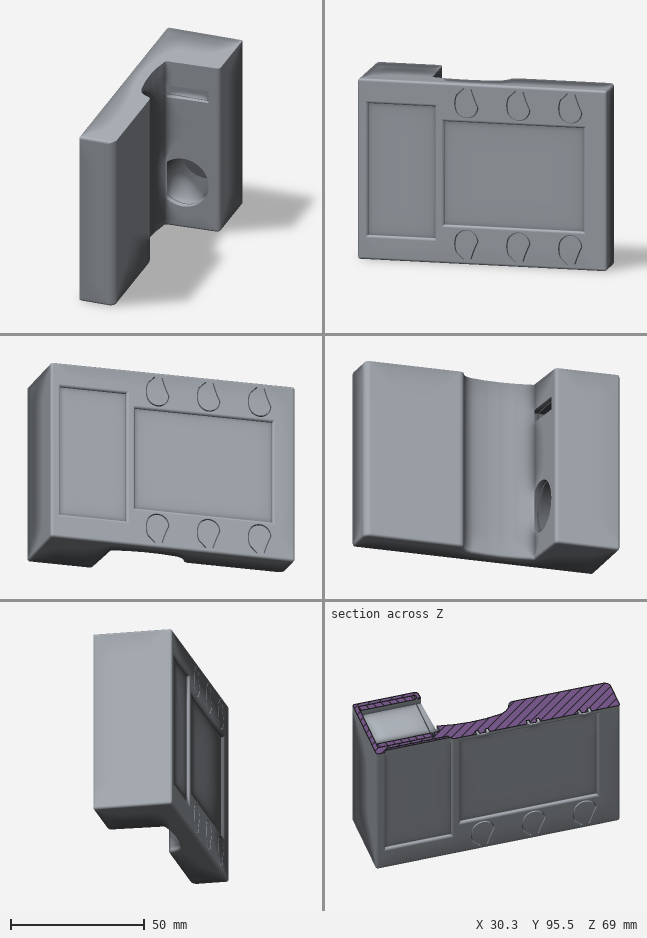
import cadquery as cq

DEPTH = 30.3
LENGTH = 95.5
HEIGHT = 69.0
EDGE_RADIUS = 1.0

HANDLE_DEPTH = 14.3
HANDLE_END_RADIUS = 2.5
RECESS_START_Y = -10.3
RECESS_CREST = (12.6, -7.9)
RECESS_BEND = (8.6, -3.3)
RECESS_END = (9.2, 21.2)
RECESS_CORNER_RADIUS = 0.8
GRIP_FACE_Y = 22.25
GRIP_CORNER_RADIUS = 1.4

SIDE_WINDOW = (31.0, 25.8, 50.4)
SCREEN_WINDOW = (-12.1, 53.7, 39.5)
WINDOW_DEPTH = 1.1
LEDGE_WIDTH = 1.0
PANEL_THICKNESS = 1.0

BUTTON_PITCH = 20.0
BUTTON_MIDDLE_Y = -13.8
BUTTON_Z = 25.9
SLOT_WIDTH = 0.5
SLOT_DEPTH = 1.9

WALL = 1.9
CAVITY_FRONT_X = 3.8
CAVITY_START_Y = 23.6
CORE_GAP = 0.5

OPENING_X = 15.95
OPENING_WIDTH = 20.1
PORT_HEIGHT = 5.0
PORT_Z = 22.0
BORE_Z = -15.6


def make_blank():
    """Side outline extruded over the height, with rounded outer edges."""
    half = LENGTH / 2
    blank = (
        cq.Workplane("XY", origin=(0, 0, -HEIGHT / 2))
        .moveTo(0, -half)
        .lineTo(HANDLE_DEPTH, -half)
        .lineTo(HANDLE_DEPTH, RECESS_START_Y)
        .tangentArcPoint(RECESS_CREST, relative=False)
        .tangentArcPoint(RECESS_BEND, relative=False)
        .tangentArcPoint(RECESS_END, relative=False)
        .lineTo(DEPTH, GRIP_FACE_Y)
        .lineTo(DEPTH, half)
        .lineTo(0, half)
        .close()
        .extrude(HEIGHT)
    )
    blank = blank.edges(vertical_at(HANDLE_DEPTH, -half)).fillet(HANDLE_END_RADIUS)
    blank = blank.edges(vertical_at(*RECESS_END)).fillet(RECESS_CORNER_RADIUS)
    blank = blank.edges(vertical_at(DEPTH, GRIP_FACE_Y)).fillet(GRIP_CORNER_RADIUS)
    blank = blank.edges(vertical_at(DEPTH, half)).fillet(EDGE_RADIUS)
    blank = blank.faces("<X").edges("|Z").fillet(EDGE_RADIUS)
    blank = blank.faces("<Z").edges().fillet(EDGE_RADIUS)
    return blank.intersect(make_top_edge_envelope())


def make_top_edge_envelope():
    """Oversized block that rounds the top edges, leaving the recessed back edge sharp."""
    envelope = cq.Workplane("XY").box(2 * DEPTH, LENGTH, 2 * HEIGHT, centered=(False, True, True))
    envelope = envelope.translate((0, 0, -HEIGHT / 2))
    envelope = envelope.faces("<X").edges("|Z").fillet(EDGE_RADIUS)
    return envelope.faces(">Z").edges("not >X").fillet(EDGE_RADIUS)


def vertical_at(x, y):
    """Selector for the vertical edge through the point (x, y)."""
    reach = 0.1
    return cq.selectors.BoxSelector(
        (x - reach, y - reach, -HEIGHT), (x + reach, y + reach, HEIGHT)
    )


def cut_window(housing, window):
    """Cut a window recess and the pocket for its panel, leaving a ledge between them."""
    center_y, width, height = window
    recess = (
        cq.Workplane("XY")
        .box(WINDOW_DEPTH, width, height, centered=(False, True, True))
        .translate((0, center_y, 0))
    )
    return housing.cut(recess).cut(make_panel(window))


def make_panel(window):
    """Flat panel set flush into the floor of a window recess."""
    center_y, width, height = window
    return (
        cq.Workplane("XY")
        .box(
            PANEL_THICKNESS,
            width - 2 * LEDGE_WIDTH,
            height - 2 * LEDGE_WIDTH,
            centered=(False, True, True),
        )
        .translate((WINDOW_DEPTH, center_y, 0))
    )


def round_window_mouths(housing):
    """Round the mouth of every window in the display face."""
    mouths = housing.faces("<X").val().innerWires()
    mouth_edges = [edge for wire in mouths for edge in wire.Edges()]
    return housing.newObject(mouth_edges).fillet(EDGE_RADIUS)


def make_button_slot():
    """Open drop-shaped slot around the origin of the display face, its gap at the top."""
    path = (
        cq.Workplane("YZ")
        .moveTo(1.05, 6.8)
        .lineTo(3.6, 4.3)
        .threePointArc((4.3, 1.5), (3.8, -1.8))
        .threePointArc((0.2, -4.4), (-4.5, -0.2))
        .threePointArc((-3.0, 3.3), (-1.9, 6.5))
        .wire()
    )
    return path.offset2D(SLOT_WIDTH / 2).extrude(SLOT_DEPTH)


def cut_button_slots(housing):
    """Cut a row of three slots above the screen and a mirrored row below it."""
    upper_slot = make_button_slot()
    lower_slot = upper_slot.mirror("XY")
    for column in (-1, 0, 1):
        y = BUTTON_MIDDLE_Y + column * BUTTON_PITCH
        housing = housing.cut(upper_slot.translate((0, y, BUTTON_Z)))
        housing = housing.cut(lower_slot.translate((0, y, -BUTTON_Z)))
    return housing


def make_grip_block(start_y):
    """Block that fills the grip cavity from start_y to the end wall."""
    length = LENGTH / 2 - WALL - start_y
    return (
        cq.Workplane("XY")
        .box(DEPTH - WALL - CAVITY_FRONT_X, length, HEIGHT - 2 * WALL, centered=(False, False, True))
        .translate((CAVITY_FRONT_X, start_y, 0))
    )


def make_openings():
    """Rectangular port above a round bore, both running along Y from the grip face to the end wall."""
    start_y = RECESS_END[1]
    length = LENGTH / 2 - WALL - start_y
    port = (
        cq.Workplane("XY")
        .box(OPENING_WIDTH, length, PORT_HEIGHT, centered=(True, False, True))
        .translate((OPENING_X, start_y, PORT_Z))
    )
    bore = (
        cq.Workplane("XZ", origin=(OPENING_X, start_y, BORE_Z))
        .circle(OPENING_WIDTH / 2)
        .extrude(-length)
    )
    return port.union(bore)


def make_housing():
    """Outer case with its windows, button slots, grip cavity and openings."""
    housing = make_blank()
    for window in (SIDE_WINDOW, SCREEN_WINDOW):
        housing = cut_window(housing, window)
    housing = round_window_mouths(housing)
    housing = cut_button_slots(housing)
    return housing.cut(make_grip_block(CAVITY_START_Y)).cut(make_openings())


def make_core():
    """Core of the grip block, a narrow gap behind the grip wall."""
    return make_grip_block(CAVITY_START_Y + CORE_GAP).cut(make_openings())


housing = make_housing()
side_panel = make_panel(SIDE_WINDOW)
screen = make_panel(SCREEN_WINDOW)
core = make_core()

result = cq.Compound.makeCompound([housing.val(), side_panel.val(), screen.val(), core.val()])